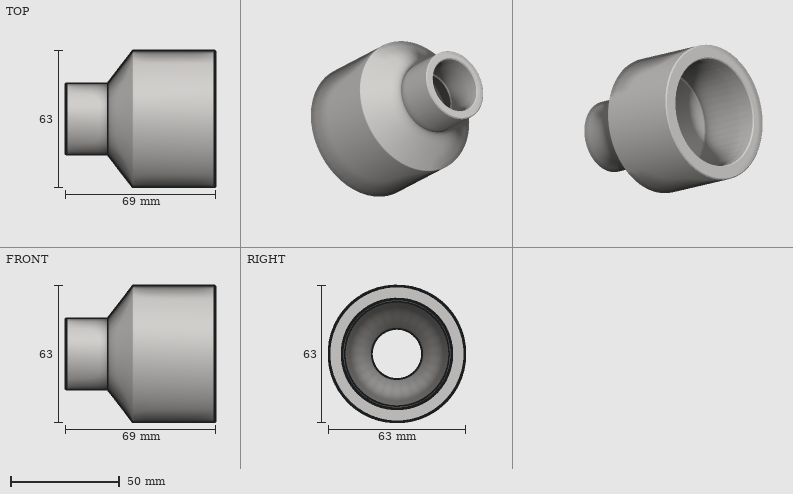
import cadquery as cq

total_length = 69.0

spigot_diameter = 33.0
spigot_length = 19.5
body_diameter = 63.0
body_start = 31.0
edge_chamfer = 0.5
cone_edge_radius = 0.5

small_socket_diameter = 25.0
small_socket_depth = 19.0
small_shoulder_diameter = 23.0
large_socket_diameter = 50.0
large_socket_depth = 31.0
large_shoulder_diameter = 48.0


def revolved(profile):
    """Solid of revolution about the X axis from (x, radius) points."""
    x_axis_point = (1, 0, 0)
    return cq.Workplane("XY").polyline(profile).close().revolve(360, (0, 0, 0), x_axis_point)


def outer_shell():
    """Small cylinder, cone and large cylinder with chamfered end rims and a rounded cone edge."""
    spigot_radius = spigot_diameter / 2
    body_radius = body_diameter / 2
    shell = revolved([
        (0, 0),
        (0, spigot_radius - edge_chamfer),
        (edge_chamfer, spigot_radius),
        (spigot_length, spigot_radius),
        (body_start, body_radius),
        (total_length - edge_chamfer, body_radius),
        (total_length, body_radius - edge_chamfer),
        (total_length, 0),
    ])
    cone_edge = cq.selectors.NearestToPointSelector((body_start, 0, body_radius))
    return shell.edges("%CIRCLE").edges(cone_edge).fillet(cone_edge_radius)


def stepped_bore():
    """Two chamfered sockets joined by a conical passage between their shoulders."""
    small_radius = small_socket_diameter / 2
    large_radius = large_socket_diameter / 2
    large_shoulder_x = total_length - large_socket_depth
    return revolved([
        (0, 0),
        (0, small_radius + edge_chamfer),
        (edge_chamfer, small_radius),
        (small_socket_depth, small_radius),
        (small_socket_depth, small_shoulder_diameter / 2),
        (large_shoulder_x, large_shoulder_diameter / 2),
        (large_shoulder_x, large_radius),
        (total_length - edge_chamfer, large_radius),
        (total_length, large_radius + edge_chamfer),
        (total_length, 0),
    ])


result = outer_shell().cut(stepped_bore())